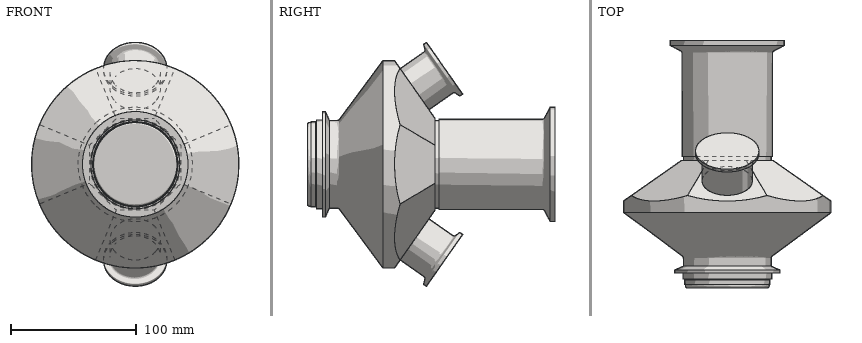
import cadquery as cq
import math

TOTAL_LENGTH = 197.0

BEAD_LENGTH = 3.0
BEAD_TIP_RADIUS = 63.9 / 2
BEAD_CREST_RADIUS = 33.45
BEAD_CREST_Y = 1.9
BEAD_BACK_RADIUS = 33.1
LAND_RADIUS = 67.9 / 2
LAND_BACK = 6.6
GROOVE_WIDTH = 0.6
GROOVE_DEPTH = 0.5
GROOVE_RADIUS = LAND_RADIUS - GROOVE_DEPTH
PILOT_RADIUS = 70.85 / 2
NECK_RADIUS = 70.0 / 2
COLLAR_RADIUS = 84.0 / 2
COLLAR_FRONT = 11.9
COLLAR_RIM_BACK = 14.4
COLLAR_BACK = 17.5

BODY_RADIUS = 165.0 / 2
CONE_FRONT = 24.9
NECK_FILLET = 2.0
RIM_FRONT = 60.0
PYRAMID_BACK = 101.6
FACET_COUNT = 8
FACET_ANGLE = 35.0
FACET_BACK_APOTHEM = 36.4

TUBE_RADIUS = 72.0 / 2
TUBE_FRONT = 104.6
TUBE_FLANGE_RADIUS = 91.0 / 2
TUBE_FLANGE_RIM = 4.0
TUBE_FLANGE_CONE = 5.0
TUBE_FLANGE_FILLET = 1.5

PORT_RADIUS = 40.0 / 2
PORT_FLANGE_RADIUS = 50.4 / 2
PORT_FLANGE_RIM = 2.85
PORT_CONE_ANGLE = 20.0
PORT_LENGTH = 28.7
PORT_END_Y = 109.1
PORT_END_Z = 76.41
PORT_ROOT = 5.0
PORT_RIM_ROUND = 0.5
PORT_NECK_FILLET = 2.0

PICK_MARGIN = 0.1


def revolve_about_y(profile):
    """Close a half profile of (radius, Y) points and turn it around the Y axis."""
    return profile.close().revolve(360, (0, 0, 0), (0, 1, 0))


def revolve_polygon(points):
    return revolve_about_y(cq.Workplane("XY").polyline(points))


def fillet_circle(solid, radius, y, fillet_radius):
    """Round the circular edge of the given radius at height y."""
    ring = cq.selectors.BoxSelector(
        (-radius - PICK_MARGIN, y - PICK_MARGIN, -radius - PICK_MARGIN),
        (radius + PICK_MARGIN, y + PICK_MARGIN, radius + PICK_MARGIN),
        boundingbox=True,
    )
    circle = cq.selectors.RadiusNthSelector(-1)
    return solid.edges(ring).edges("%CIRCLE").edges(circle).fillet(fillet_radius)


def make_spigot():
    profile = (
        cq.Workplane("XY")
        .lineTo(BEAD_TIP_RADIUS, 0)
        .threePointArc((BEAD_CREST_RADIUS, BEAD_CREST_Y), (BEAD_BACK_RADIUS, BEAD_LENGTH))
        .lineTo(LAND_RADIUS, BEAD_LENGTH)
        .lineTo(LAND_RADIUS, LAND_BACK)
        .lineTo(GROOVE_RADIUS, LAND_BACK)
        .lineTo(GROOVE_RADIUS, LAND_BACK + GROOVE_WIDTH)
        .lineTo(PILOT_RADIUS, LAND_BACK + GROOVE_WIDTH)
        .lineTo(PILOT_RADIUS, COLLAR_FRONT)
        .lineTo(COLLAR_RADIUS, COLLAR_FRONT)
        .lineTo(COLLAR_RADIUS, COLLAR_RIM_BACK)
        .lineTo(NECK_RADIUS, COLLAR_BACK)
        .lineTo(NECK_RADIUS, CONE_FRONT)
        .lineTo(0, CONE_FRONT)
    )
    return revolve_about_y(profile)


def octagon(y, apothem):
    """Wire at height y with flats facing +X, -X, +Z and -Z."""
    half_facet = math.pi / FACET_COUNT
    corner_radius = apothem / math.cos(half_facet)
    corners = []
    for i in range(FACET_COUNT):
        angle = half_facet * (2 * i + 1)
        corners.append(cq.Vector(corner_radius * math.cos(angle), y, corner_radius * math.sin(angle)))
    return cq.Wire.makePolygon(corners, close=True)


def make_body():
    turned = revolve_polygon([
        (0, COLLAR_BACK),
        (NECK_RADIUS, COLLAR_BACK),
        (NECK_RADIUS, CONE_FRONT),
        (BODY_RADIUS, RIM_FRONT),
        (BODY_RADIUS, PYRAMID_BACK),
        (0, PYRAMID_BACK),
    ])
    turned = fillet_circle(turned, NECK_RADIUS, CONE_FRONT, NECK_FILLET)
    pyramid_height = PYRAMID_BACK - RIM_FRONT
    front_apothem = FACET_BACK_APOTHEM + pyramid_height / math.tan(math.radians(FACET_ANGLE))
    front_octagon = octagon(RIM_FRONT, front_apothem)
    back_octagon = octagon(PYRAMID_BACK, FACET_BACK_APOTHEM)
    pyramid = cq.Solid.makeLoft([front_octagon, back_octagon], True)
    front_keep = cq.Workplane("XZ").circle(BODY_RADIUS).extrude(-RIM_FRONT)
    return turned.intersect(front_keep.union(cq.Workplane(pyramid)))


def make_tube():
    rim_front = TOTAL_LENGTH - TUBE_FLANGE_RIM
    cone_front = rim_front - TUBE_FLANGE_CONE
    tube = revolve_polygon([
        (0, RIM_FRONT),
        (NECK_RADIUS, RIM_FRONT),
        (NECK_RADIUS, TUBE_FRONT),
        (TUBE_RADIUS, TUBE_FRONT),
        (TUBE_RADIUS, cone_front),
        (TUBE_FLANGE_RADIUS, rim_front),
        (TUBE_FLANGE_RADIUS, TOTAL_LENGTH),
        (0, TOTAL_LENGTH),
    ])
    return fillet_circle(tube, TUBE_RADIUS, cone_front, TUBE_FLANGE_FILLET)


def make_port():
    cone_length = (PORT_FLANGE_RADIUS - PORT_RADIUS) * math.tan(math.radians(PORT_CONE_ANGLE))
    neck_end = -PORT_FLANGE_RIM - cone_length
    port = revolve_polygon([
        (0, -PORT_LENGTH - PORT_ROOT),
        (PORT_RADIUS, -PORT_LENGTH - PORT_ROOT),
        (PORT_RADIUS, neck_end),
        (PORT_FLANGE_RADIUS, -PORT_FLANGE_RIM),
        (PORT_FLANGE_RADIUS, 0),
        (0, 0),
    ])
    port = fillet_circle(port, PORT_RADIUS, neck_end, PORT_NECK_FILLET)
    port = fillet_circle(port, PORT_FLANGE_RADIUS, -PORT_FLANGE_RIM, PORT_RIM_ROUND)
    port = port.rotate((0, 0, 0), (1, 0, 0), FACET_ANGLE)
    return port.translate((0, PORT_END_Y, PORT_END_Z))


upper_port = make_port()
result = make_body().union(make_spigot()).union(make_tube())
result = result.union(upper_port).union(upper_port.mirror("XY"))